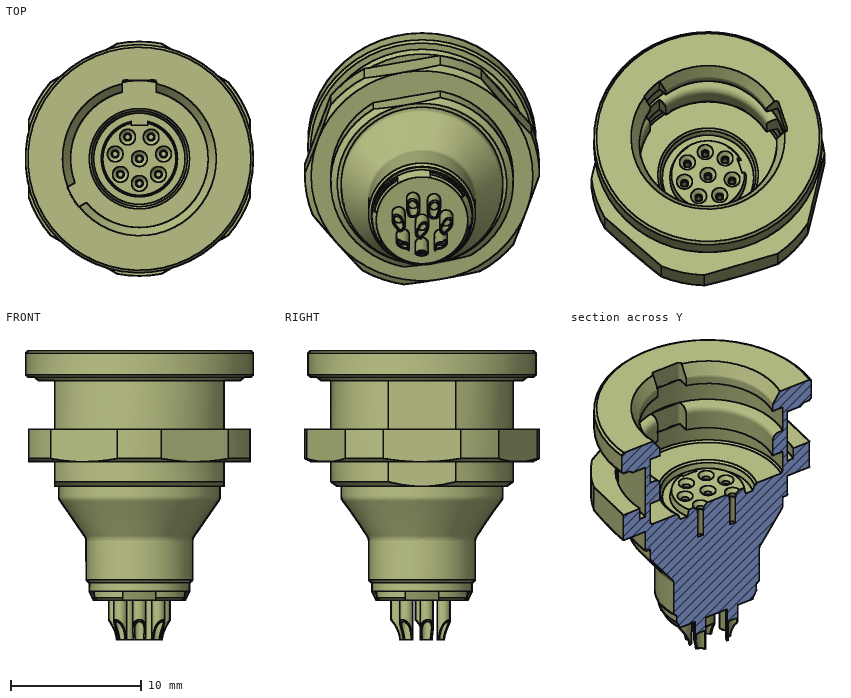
import cadquery as cq
import math


FLANGE_DIA = 17.5
FLANGE_BOTTOM = -2.05
FLANGE_CHAMFER = 0.2
LIP_TOP_DIA = 16.1
LIP_BOTTOM = -2.3
LIP_BOTTOM_DIA = 15.5

BODY_DIA = 14.0
BODY_FLATS = 13.0
BODY_BOTTOM = -10.42
BODY_CHAMFER_HEIGHT = 0.36

NUT_ACROSS_FLATS = 17.0
NUT_CORNER_DIA = 18.0
NUT_TOP = -6.03
NUT_HEIGHT = 2.5
NUT_CHAMFER_DIA = 17.0
NUT_CHAMFER_HEIGHT = 0.25
NUT_RELIEF_DIA = 14.2
NUT_RELIEF_DEPTH = 1.0

SLEEVE_DIA = 12.4
TAPER_TOP = -11.36
TAPER_BOTTOM = -14.4
TAPER_BLEND = 0.5
NECK_DIA = 8.2
NECK_BOTTOM = -17.8
NECK_CHAMFER = 0.2

INSERT_DIA = 7.7
INSERT_STEP = -18.46
RING_DIA = 7.4
RING_BOTTOM = -19.17
RING_CHAMFER = 0.19
LUG_WIDTH = 2.54
LUG_COUNT = 4

MOUTH_DIA = 11.8
LAND_DIA = 10.55
MOUTH_CONE_BOTTOM = -0.98
MOUTH_BLEND = 0.25
FRONT_LAND_BOTTOM = -1.7
GROOVE_DIA = 12.3
GROOVE_BOTTOM = -3.91
REAR_LAND_ROUND = 0.55
REAR_LAND_BOTTOM = -6.0
BORE_FLOOR = -8.0
FLOOR_CHAMFER = 0.15

MAIN_KEY_WIDTH = 2.6
MAIN_KEY_REACH = 6.03
KEY_CORNER_RADIUS = 0.2
SIDE_KEY_WIDTH = 1.75
SIDE_KEY_DIA = 11.86
SIDE_KEY_ANGLE = 210

RECESS_DIA = INSERT_DIA
RECESS_EDGE_DIA = 7.35
RECESS_FLOOR_DIA = 7.0
RECESS_EDGE_DEPTH = 0.15
RECESS_DEPTH = 0.6
INSULATOR_DIA = 5.85
INSULATOR_TOP_DIA = 5.6
INSULATOR_SLOT_WIDTH = 1.25
INSULATOR_SLOT_REACH = 2.55

RING_CONTACTS = 7
CONTACT_CIRCLE_DIA = 3.78
CONTACT_PITCH_ANGLE = 50.5
MIDDLE_CONTACT_ANGLE = -90
ENTRY_DIA = 1.2
ENTRY_DEPTH = 0.3
SOCKET_MOUTH_DIA = 0.57
SOCKET_MOUTH_DEPTH = 0.6
SOCKET_DIA = 0.45
SOCKET_DEPTH = 3.0

PIN_DIA = 1.0
PIN_TIP = -22.2
CUP_DIA = 0.75
CUP_DEPTH = 1.8
SCOOP_HEIGHT = 1.55
SCOOP_DEPTH = 0.7
SCOOP_MID_HEIGHT = 1.08
SCOOP_MID_DEPTH = 0.36

LEVEL_TOLERANCE = 0.1


def cylinder(dia, bottom, top):
    return cq.Workplane("XY").workplane(offset=bottom).circle(dia / 2).extrude(top - bottom)


def revolve(outline):
    """Turn an XZ half-outline into a solid of revolution about Z."""
    return outline.close().revolve(360, (0, 0, 0), (0, 1, 0))


def cone(top_dia, top, bottom_dia, bottom):
    outline = (
        cq.Workplane("XZ")
        .moveTo(0, top)
        .lineTo(top_dia / 2, top)
        .lineTo(bottom_dia / 2, bottom)
        .lineTo(0, bottom)
    )
    return revolve(outline)


def box_between(x_min, x_max, y_min, y_max, z_min, z_max):
    return (
        cq.Workplane("XY")
        .box(x_max - x_min, y_max - y_min, z_max - z_min, centered=False)
        .translate((x_min, y_min, z_min))
    )


def turn(shape, angle):
    return shape.rotate((0, 0, 0), (0, 0, 1), angle)


def fillet_circle(shape, level, radius):
    """Round the circular edge that lies at the given level."""
    low_corner = (-FLANGE_DIA, -FLANGE_DIA, level - LEVEL_TOLERANCE)
    high_corner = (FLANGE_DIA, FLANGE_DIA, level + LEVEL_TOLERANCE)
    at_level = cq.selectors.BoxSelector(low_corner, high_corner)
    return shape.edges("%CIRCLE").edges(at_level).fillet(radius)


def make_flange():
    disc = cylinder(FLANGE_DIA, FLANGE_BOTTOM, 0).edges().chamfer(FLANGE_CHAMFER)
    lip = cone(LIP_TOP_DIA, FLANGE_BOTTOM, LIP_BOTTOM_DIA, LIP_BOTTOM)
    return disc.union(lip)


def make_body():
    chamfer_top = BODY_BOTTOM + BODY_CHAMFER_HEIGHT
    barrel = cylinder(BODY_DIA, chamfer_top, FLANGE_BOTTOM)
    barrel = barrel.union(cone(BODY_DIA, chamfer_top, BODY_FLATS, BODY_BOTTOM))
    half_flats = BODY_FLATS / 2
    between_flats = box_between(-half_flats, half_flats, -BODY_DIA, BODY_DIA, BODY_BOTTOM, 0)
    return barrel.intersect(between_flats)


def make_nut():
    """Hexagon with two flats facing +X and -X, its corners turned off and bevelled below."""
    bottom = NUT_TOP - NUT_HEIGHT
    chamfer_top = bottom + NUT_CHAMFER_HEIGHT
    hexagon = (
        cq.Workplane("XY")
        .workplane(offset=bottom)
        .polygon(6, NUT_ACROSS_FLATS, circumscribed=True)
        .extrude(NUT_HEIGHT)
    )
    blank = cylinder(NUT_CORNER_DIA, chamfer_top, NUT_TOP)
    blank = blank.union(cone(NUT_CORNER_DIA, chamfer_top, NUT_CHAMFER_DIA, bottom))
    relief = cylinder(NUT_RELIEF_DIA, NUT_TOP - NUT_RELIEF_DEPTH, NUT_TOP)
    return hexagon.intersect(blank).cut(relief)


def make_sleeve():
    outline = (
        cq.Workplane("XZ")
        .moveTo(0, BODY_BOTTOM)
        .lineTo(SLEEVE_DIA / 2, BODY_BOTTOM)
        .lineTo(SLEEVE_DIA / 2, TAPER_TOP)
        .lineTo(NECK_DIA / 2, TAPER_BOTTOM)
        .lineTo(NECK_DIA / 2, NECK_BOTTOM)
        .lineTo(0, NECK_BOTTOM)
    )
    sleeve = revolve(outline)
    sleeve = fillet_circle(sleeve, TAPER_TOP, TAPER_BLEND)
    sleeve = fillet_circle(sleeve, TAPER_BOTTOM, TAPER_BLEND)
    return sleeve.faces("<Z").edges().chamfer(NECK_CHAMFER)


def make_insert_rear():
    """Stepped rear end whose four tapered lugs fill out the step at +-X and +-Y."""
    ring_end_dia = RING_DIA - 2 * RING_CHAMFER
    step = cylinder(INSERT_DIA, INSERT_STEP, NECK_BOTTOM)
    ring = cylinder(RING_DIA, RING_BOTTOM, INSERT_STEP).faces("<Z").edges().chamfer(RING_CHAMFER)
    taper = cone(INSERT_DIA, INSERT_STEP, ring_end_dia, RING_BOTTOM)
    half_width = LUG_WIDTH / 2
    lug_zone = box_between(0, INSERT_DIA, -half_width, half_width, RING_BOTTOM, INSERT_STEP)
    rear = ring
    for i in range(LUG_COUNT):
        zone = turn(lug_zone, i * 360 / LUG_COUNT)
        rear = rear.cut(zone).union(taper.intersect(zone))
    return step.union(rear)


def make_bore():
    """Cavity with a flared mouth, two lands and two wider grooves."""
    land_radius = LAND_DIA / 2
    groove_radius = GROOVE_DIA / 2
    round_offset = REAR_LAND_ROUND * (1 - math.sqrt(0.5))
    outline = (
        cq.Workplane("XZ")
        .lineTo(MOUTH_DIA / 2, 0)
        .lineTo(land_radius, MOUTH_CONE_BOTTOM)
        .lineTo(land_radius, FRONT_LAND_BOTTOM)
        .lineTo(groove_radius, FRONT_LAND_BOTTOM)
        .lineTo(groove_radius, GROOVE_BOTTOM)
        .lineTo(land_radius + REAR_LAND_ROUND, GROOVE_BOTTOM)
        .threePointArc(
            (land_radius + round_offset, GROOVE_BOTTOM - round_offset),
            (land_radius, GROOVE_BOTTOM - REAR_LAND_ROUND),
        )
        .lineTo(land_radius, REAR_LAND_BOTTOM)
        .lineTo(groove_radius, REAR_LAND_BOTTOM)
        .lineTo(groove_radius, BORE_FLOOR + FLOOR_CHAMFER)
        .lineTo(groove_radius - FLOOR_CHAMFER, BORE_FLOOR)
        .lineTo(0, BORE_FLOOR)
    )
    return fillet_circle(revolve(outline), MOUTH_CONE_BOTTOM, MOUTH_BLEND)


def make_keyways():
    half_main = MAIN_KEY_WIDTH / 2
    main = box_between(-half_main, half_main, 0, MAIN_KEY_REACH, REAR_LAND_BOTTOM, 0)
    main = main.edges("|Z and >Y").fillet(KEY_CORNER_RADIUS)
    half_side = SIDE_KEY_WIDTH / 2
    side = box_between(0, SIDE_KEY_DIA, -half_side, half_side, REAR_LAND_BOTTOM, 0)
    side = side.intersect(cylinder(SIDE_KEY_DIA, REAR_LAND_BOTTOM, 0))
    return main.union(turn(side, SIDE_KEY_ANGLE))


def make_floor_recess():
    """Bevelled annular recess that leaves the keyed insulator standing level with the floor."""
    edge_level = BORE_FLOOR - RECESS_EDGE_DEPTH
    bottom = BORE_FLOOR - RECESS_DEPTH
    recess = cone(RECESS_DIA, BORE_FLOOR, RECESS_EDGE_DIA, edge_level)
    recess = recess.union(cone(RECESS_EDGE_DIA, edge_level, RECESS_FLOOR_DIA, bottom))
    insulator = cone(INSULATOR_TOP_DIA, BORE_FLOOR, INSULATOR_DIA, bottom)
    half_slot = INSULATOR_SLOT_WIDTH / 2
    slot = box_between(-half_slot, half_slot, INSULATOR_SLOT_REACH, INSULATOR_DIA, bottom, BORE_FLOOR)
    return recess.cut(insulator.cut(slot))


def make_socket():
    entry_bottom = BORE_FLOOR - ENTRY_DEPTH
    entry = cone(ENTRY_DIA, BORE_FLOOR, SOCKET_MOUTH_DIA, entry_bottom)
    mouth = cylinder(SOCKET_MOUTH_DIA, BORE_FLOOR - SOCKET_MOUTH_DEPTH, entry_bottom)
    hole = cylinder(SOCKET_DIA, BORE_FLOOR - SOCKET_DEPTH, entry_bottom)
    return entry.union(mouth).union(hole)


def make_pin():
    """Solder pin whose hollow end is scooped open towards +X."""
    radius = PIN_DIA / 2
    pin = cylinder(PIN_DIA, PIN_TIP, RING_BOTTOM)
    cup = cylinder(CUP_DIA, PIN_TIP, PIN_TIP + CUP_DEPTH)
    scoop = (
        cq.Workplane("XZ")
        .moveTo(radius, PIN_TIP + SCOOP_HEIGHT)
        .threePointArc(
            (radius - SCOOP_MID_DEPTH, PIN_TIP + SCOOP_MID_HEIGHT),
            (radius - SCOOP_DEPTH, PIN_TIP),
        )
        .lineTo(radius, PIN_TIP)
        .close()
        .extrude(radius, both=True)
    )
    return pin.cut(cup).cut(scoop)


def at_contacts(shape):
    """One copy in the centre and one at each ring contact, all turned to face outwards."""
    copies = [turn(shape, MIDDLE_CONTACT_ANGLE)]
    on_circle = shape.translate((CONTACT_CIRCLE_DIA / 2, 0, 0))
    for i in range(RING_CONTACTS):
        steps_from_middle = i - (RING_CONTACTS - 1) / 2
        copies.append(turn(on_circle, MIDDLE_CONTACT_ANGLE + steps_from_middle * CONTACT_PITCH_ANGLE))
    return copies


shell = make_flange().union(make_body()).union(make_nut()).union(make_sleeve()).union(make_insert_rear())
shell = shell.cut(make_bore()).cut(make_keyways()).cut(make_floor_recess())
for socket in at_contacts(make_socket()):
    shell = shell.cut(socket)
for solder_pin in at_contacts(make_pin()):
    shell = shell.union(solder_pin)

result = shell